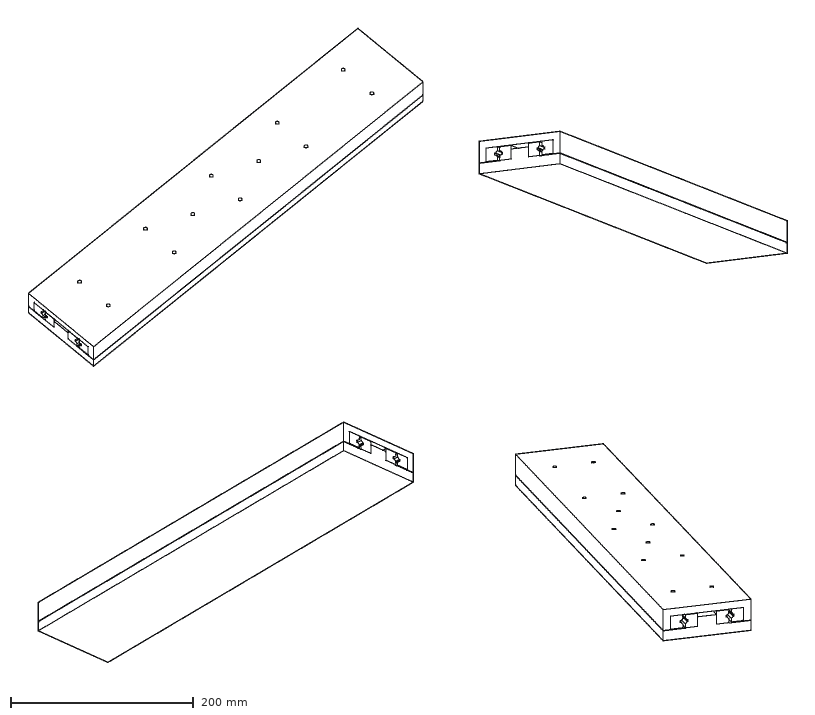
import cadquery as cq

length = 508.0
width = 101.5
height = 36.5

base_deck_z = 11.5
inner_seat_z = 12.0
carriage_bottom_z = inner_seat_z
boss_top_z = 23.5
carriage_ceiling_z = 28.0

boss_width = 22.0
rail_width = 14.0
rail_height = 15.0
wall_thickness = 8.5
groove_depth = 2.3
slot_height = 2.0
slot_depth = 1.0
groove_height = slot_height + 2 * groove_depth

inner_rail_back = boss_width / 2
inner_rail_front = inner_rail_back + rail_width
outer_rail_back = width / 2 - wall_thickness
outer_rail_front = outer_rail_back - rail_width
outer_rail_bottom = carriage_ceiling_z - rail_height
groove_z = (inner_seat_z + carriage_ceiling_z) / 2

hole_diameter = 4.0
hole_pitch = 101.5
hole_row_spacing = 44.5
hole_rows = 5


def extrude_along_slide(points):
    """Extrude an XZ outline over the full length, centred on Y = 0."""
    return cq.Workplane("XZ").polyline(points).close().extrude(length / 2, both=True)


def mirrored_outline(right_half):
    """Close a right-hand outline with its mirror image across X = 0."""
    left_half = [(-x, z) for x, z in reversed(right_half)]
    return right_half + left_half


def make_base():
    """Flat plate with a raised deck for the inner rails and a central boss."""
    return extrude_along_slide(mirrored_outline([
        (width / 2, 0),
        (width / 2, base_deck_z),
        (inner_rail_front, base_deck_z),
        (inner_rail_front, inner_seat_z),
        (boss_width / 2, inner_seat_z),
        (boss_width / 2, boss_top_z),
    ]))


def make_carriage():
    """Inverted channel with the mounting holes through its top."""
    channel = extrude_along_slide(mirrored_outline([
        (outer_rail_back, carriage_ceiling_z),
        (outer_rail_back, carriage_bottom_z),
        (width / 2, carriage_bottom_z),
        (width / 2, height),
    ]))
    centre_holes = [(0, -hole_pitch / 2), (0, hole_pitch / 2)]
    top_thickness = height - carriage_ceiling_z
    top_plane = cq.Workplane("XY", origin=(0, 0, carriage_ceiling_z))
    row_drills = (
        top_plane.rarray(hole_row_spacing, hole_pitch, 2, hole_rows)
        .circle(hole_diameter / 2)
        .extrude(top_thickness)
    )
    centre_drills = (
        top_plane.pushPoints(centre_holes)
        .circle(hole_diameter / 2)
        .extrude(top_thickness)
    )
    return channel.cut(row_drills).cut(centre_drills)


def make_rail(side, back_x, front_x, bottom_z):
    """Rail on one side (+1 or -1) with a slotted V-groove along its front face."""
    facing = 1 if front_x > back_x else -1
    root_x = front_x - facing * groove_depth
    slot_floor_x = root_x - facing * slot_depth
    top_z = bottom_z + rail_height
    outline = [
        (back_x, bottom_z),
        (front_x, bottom_z),
        (front_x, groove_z - groove_height / 2),
        (root_x, groove_z - slot_height / 2),
        (slot_floor_x, groove_z - slot_height / 2),
        (slot_floor_x, groove_z + slot_height / 2),
        (root_x, groove_z + slot_height / 2),
        (front_x, groove_z + groove_height / 2),
        (front_x, top_z),
        (back_x, top_z),
    ]
    return extrude_along_slide([(side * x, z) for x, z in outline])


base = make_base()
carriage = make_carriage()

rails = []
for side in (-1, 1):
    inner_rail = make_rail(side, inner_rail_back, inner_rail_front, inner_seat_z)
    outer_rail = make_rail(side, outer_rail_back, outer_rail_front, outer_rail_bottom)
    rails += [inner_rail.val(), outer_rail.val()]

result = cq.Compound.makeCompound([base.val(), carriage.val(), *rails])